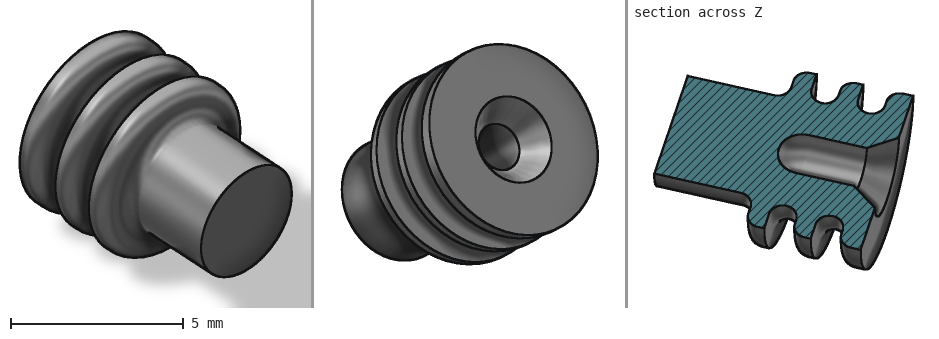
import cadquery as cq
import math

length = 6.5
rim_diameter = 5.75
rim_radius = rim_diameter / 2
tube_radius = 1.825

lip_count = 3
first_lip_width = 0.7
lip_width = 0.6
edge_radius = 0.4
groove_width = 0.8
groove_floor_radius = 1.925

mouth_radius = 1.3
bore_radius = 0.695
mouth_depth = 0.8
bore_depth = 3.25


def arc_point(center_x, center_r, radius, degrees):
    """Point on a circle, measured from the +X direction."""
    angle = math.radians(degrees)
    return center_x + radius * math.cos(angle), center_r + radius * math.sin(angle)


def add_lip(profile, start_x, width):
    """Draw a lip with a square front edge and a rounded back edge."""
    end_x = start_x + width
    round_x = end_x - edge_radius
    round_r = rim_radius - edge_radius
    return (
        profile.lineTo(start_x, rim_radius)
        .lineTo(round_x, rim_radius)
        .threePointArc(arc_point(round_x, round_r, edge_radius, 45), (end_x, round_r))
    )


def add_groove(profile, start_x):
    """Draw a groove with a semicircular floor, up to the next lip."""
    groove_radius = groove_width / 2
    wall_end_r = groove_floor_radius + groove_radius
    return (
        profile.lineTo(start_x, wall_end_r)
        .threePointArc((start_x + groove_radius, groove_floor_radius),
                       (start_x + groove_width, wall_end_r))
    )


def make_body():
    profile = cq.Workplane("XY").moveTo(0, 0)
    x = 0
    for index in range(lip_count):
        width = first_lip_width if index == 0 else lip_width
        profile = add_lip(profile, x, width)
        x += width
        if index < lip_count - 1:
            profile = add_groove(profile, x)
            x += groove_width

    fillet_x = x + edge_radius
    fillet_r = tube_radius + edge_radius
    profile = (
        profile.lineTo(x, fillet_r)
        .threePointArc(arc_point(fillet_x, fillet_r, edge_radius, 225), (fillet_x, tube_radius))
        .lineTo(length, tube_radius)
        .lineTo(length, 0)
        .close()
    )
    return profile.revolve(360, (0, 0, 0), (1, 0, 0))


def make_bore():
    bottom_x = bore_depth - bore_radius
    return (
        cq.Workplane("XY")
        .moveTo(0, 0)
        .lineTo(0, mouth_radius)
        .lineTo(mouth_depth, bore_radius)
        .lineTo(bottom_x, bore_radius)
        .threePointArc(arc_point(bottom_x, 0, bore_radius, 45), (bore_depth, 0))
        .close()
        .revolve(360, (0, 0, 0), (1, 0, 0))
    )


result = make_body().cut(make_bore())